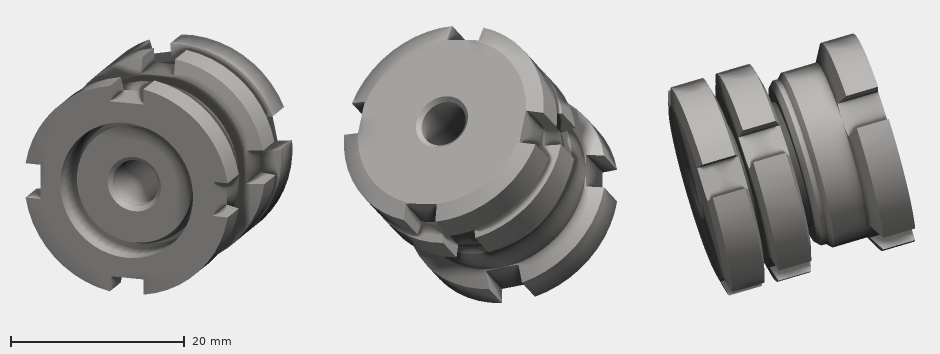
import cadquery as cq
import math


rim_radius = 12.5
slot_count = 4
thread_radius = 7.5

sleeve_length = 11.0
sleeve_body_radius = 10.5
sleeve_chamfer = 0.6
sleeve_nose_radius = sleeve_body_radius - sleeve_chamfer
flange_length = 5.0
flange_cone_angle = 30.0
flange_slot_width = 4.1
recess_radius = 8.1
recess_depth = 7.0
recess_floor_chamfer = recess_radius - thread_radius

ring_thickness = 5.0
ring_chamfer_radial = 2.0
ring_chamfer_angle = 15.0
ring_slot_width = 4.0
ring_slot_floor_radius = 10.4
ring_slot_offset = 0.45

nut_front = 12.0
nut_back = nut_front + ring_thickness

screw_length = 20.0
head_gap = 0.66
head_front = nut_back + head_gap
screw_back = head_front + ring_thickness
screw_front = screw_back - screw_length
screw_turn = 12.0
neck_radius = 6.68
tip_chamfer = 0.5
tip_radius = thread_radius - tip_chamfer
tip_length = 1.0
screw_hole_radius = 2.75
screw_hole_chamfer = 0.5


def revolve_profile(points):
    """Revolve a closed outline of (radius, y) points about the Y axis."""
    return cq.Workplane("XY").polyline(points).close().revolve(360, (0, 0), (0, 1))


def rim_slots(width, floor_radius, offset, front, back):
    """Boxes that cut evenly spaced wrench slots into a rim, between two Y positions."""
    depth = rim_radius - floor_radius
    slot_center = (rim_radius, (front + back) / 2, offset)
    slot = cq.Workplane("XY").box(2 * depth, back - front, width).translate(slot_center)
    slots = cq.Workplane("XY")
    for index in range(slot_count):
        slots = slots.add(slot.rotate((0, 0, 0), (0, 1, 0), index * 360 / slot_count))
    return slots.combine()


def slotted_ring(front):
    """Solid disc with both rim edges chamfered and wrench slots, starting at Y = front."""
    back = front + ring_thickness
    face_radius = rim_radius - ring_chamfer_radial
    chamfer_axial = ring_chamfer_radial * math.tan(math.radians(ring_chamfer_angle))
    disc = revolve_profile([
        (0, front),
        (face_radius, front),
        (rim_radius, front + chamfer_axial),
        (rim_radius, back - chamfer_axial),
        (face_radius, back),
        (0, back),
    ])
    slots = rim_slots(ring_slot_width, ring_slot_floor_radius, ring_slot_offset, front, back)
    return disc.cut(slots)


def make_sleeve():
    """Flanged, threaded sleeve with a stepped nose and a recess in the flange face."""
    flange_cone = (rim_radius - sleeve_body_radius) * math.tan(math.radians(flange_cone_angle))
    nose_front = sleeve_length - 2 * sleeve_chamfer
    nose_back = sleeve_length - sleeve_chamfer
    sleeve = revolve_profile([
        (recess_radius, 0),
        (rim_radius, 0),
        (rim_radius, flange_length - flange_cone),
        (sleeve_body_radius, flange_length),
        (sleeve_body_radius, nose_front - sleeve_chamfer),
        (sleeve_nose_radius, nose_front),
        (sleeve_nose_radius, nose_back),
        (sleeve_nose_radius - sleeve_chamfer, sleeve_length),
        (thread_radius, sleeve_length),
        (thread_radius, recess_depth),
        (recess_radius, recess_depth - recess_floor_chamfer),
    ])
    slots = rim_slots(flange_slot_width, sleeve_body_radius, 0, 0, flange_length)
    return sleeve.cut(slots)


def make_lock_nut():
    """Slotted ring bored to fit the screw thread."""
    bore = cq.Workplane("XZ", origin=(0, nut_back, 0)).circle(thread_radius).extrude(ring_thickness)
    return slotted_ring(nut_front).cut(bore)


def make_screw():
    """Hollow screw: threaded shaft with a narrower tip and neck, and a slotted head."""
    shaft = revolve_profile([
        (0, screw_front),
        (tip_radius, screw_front),
        (tip_radius, screw_front + tip_length),
        (thread_radius, screw_front + tip_length + tip_chamfer),
        (thread_radius, nut_back),
        (neck_radius, nut_back),
        (neck_radius, head_front),
        (0, head_front),
    ])
    mouth_radius = screw_hole_radius + screw_hole_chamfer
    hole = revolve_profile([
        (0, screw_front),
        (mouth_radius, screw_front),
        (screw_hole_radius, screw_front + screw_hole_chamfer),
        (screw_hole_radius, screw_back - screw_hole_chamfer),
        (mouth_radius, screw_back),
        (0, screw_back),
    ])
    screw = slotted_ring(head_front).union(shaft).cut(hole)
    return screw.rotate((0, 0, 0), (0, 1, 0), -screw_turn)


sleeve = make_sleeve()
lock_nut = make_lock_nut()
screw = make_screw()

result = cq.Compound.makeCompound([
    sleeve.solids().val(),
    lock_nut.solids().val(),
    screw.solids().val(),
])